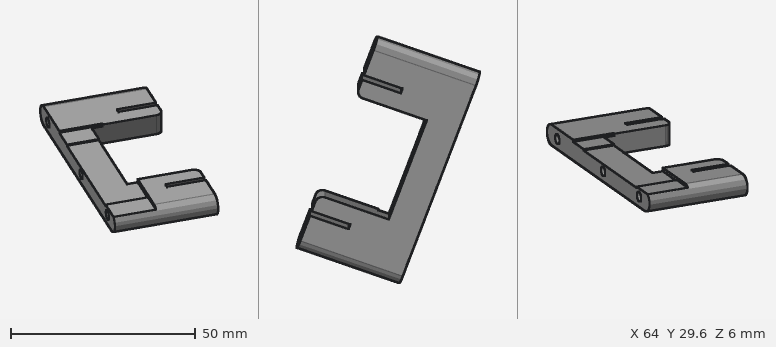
import cadquery as cq

length = 64.0
depth = 29.6
thickness = 6.0

leg_width = 16.95
web_depth = 9.15
leg_corner_radius = 2.0

slot_width = 1.4
slot_length = 11.15
slot_center_from_end = 11.3

recess_depth_y = 12.15
shallow_drop = 0.6
deep_drop = 0.95
shallow_start_x = 16.4
deep_start_x = 22.9
deep_end_x = 56.0

hole_diameter = 2.7
hole_positions_x = (6.5, 35.1, 57.5)


def block(x_start, x_end, y_start, y_end, z_start, z_end):
    """Axis-aligned box between the given limits."""
    size = (x_end - x_start, y_end - y_start, z_end - z_start)
    return cq.Workplane("XY").box(*size, centered=False).translate((x_start, y_start, z_start))


def u_body():
    """Round-ended bar with the central opening and rounded leg corners."""
    bar = (
        cq.Workplane("XZ")
        .center(length / 2, thickness / 2)
        .slot2D(length, thickness)
        .extrude(-depth)
    )
    opening = block(leg_width, length - leg_width, web_depth, depth, 0, thickness)
    margin = 0.65
    corner_edges = cq.selectors.BoxSelector(
        (leg_width - margin, depth - margin, 0),
        (length - leg_width + margin, depth + margin, thickness),
    )
    return bar.cut(opening).edges("|Z").edges(corner_edges).fillet(leg_corner_radius)


def leg_slot(center_x):
    """Cutter for one slot through the full thickness."""
    half_width = slot_width / 2
    return block(center_x - half_width, center_x + half_width, depth - slot_length, depth, 0, thickness)


def top_recess(x_start, x_end, drop):
    """Cutter for one level of the recess, open at the front."""
    return block(x_start, x_end, 0, recess_depth_y, thickness - drop, thickness)


def long_hole(center_x):
    """Cutter for one hole through the full depth."""
    return (
        cq.Workplane("XZ")
        .center(center_x, thickness / 2)
        .circle(hole_diameter / 2)
        .extrude(-depth)
    )


result = u_body()

for slot_x in (slot_center_from_end, length - slot_center_from_end):
    result = result.cut(leg_slot(slot_x))

result = result.cut(top_recess(shallow_start_x, length, shallow_drop))
result = result.cut(top_recess(deep_start_x, deep_end_x, deep_drop))

for hole_x in hole_positions_x:
    result = result.cut(long_hole(hole_x))